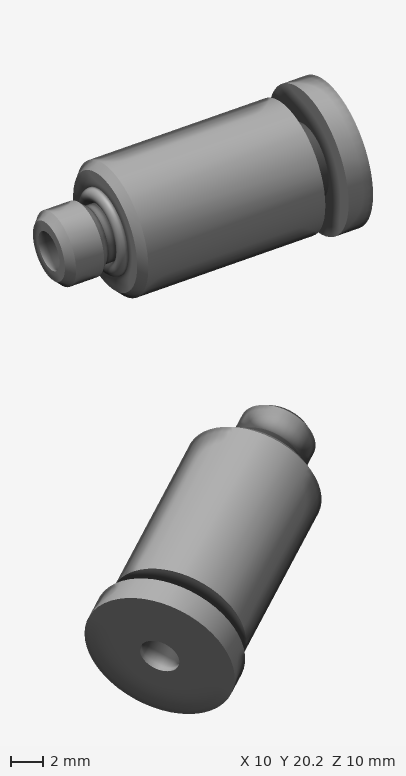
import cadquery as cq

total_length = 20.2
stud_end = 2.5
neck_start = 3.13
body_start = 4.0
body_end = 17.09
head_start = 18.46
chamfer = 0.5

head_radius = 5.0
body_radius = 4.5
stud_radius = 2.5
collar_radius = stud_radius
neck_radius = 1.92
bore_radius = 1.31

ring_outer_radius = 2.9
ring_section_radius = 0.5
ring_start = 3.5


def cylinder(radius, start, end):
    """Solid cylinder about the Y axis between two axial positions."""
    return cq.Workplane("XZ", origin=(0, start, 0)).circle(radius).extrude(start - end)


def stud():
    """Chamfered stud with a conical undercut leading to the neck."""
    profile = [
        (0, 0),
        (stud_radius - chamfer, 0),
        (stud_radius, chamfer),
        (stud_radius, stud_end),
        (neck_radius, neck_start),
        (neck_radius, body_start),
        (0, body_start),
    ]
    return cq.Workplane("XY").polyline(profile).close().revolve(360, (0, 0), (0, 1))


def seal_ring():
    """Round-section ring around the neck at the body face."""
    center = (ring_outer_radius - ring_section_radius, ring_start + ring_section_radius)
    section = cq.Workplane("XY").center(*center).circle(ring_section_radius)
    return section.revolve(360, (-center[0], 0), (-center[0], 1))


body = cylinder(body_radius, body_start, body_end).faces("<Y").chamfer(chamfer)
collar = cylinder(collar_radius, body_end, head_start)
head = cylinder(head_radius, head_start, total_length)
bore = cylinder(bore_radius, 0, total_length)

outside = body.union(collar).union(head).union(stud()).union(seal_ring())
result = outside.cut(bore).translate((0, -total_length / 2, 0))